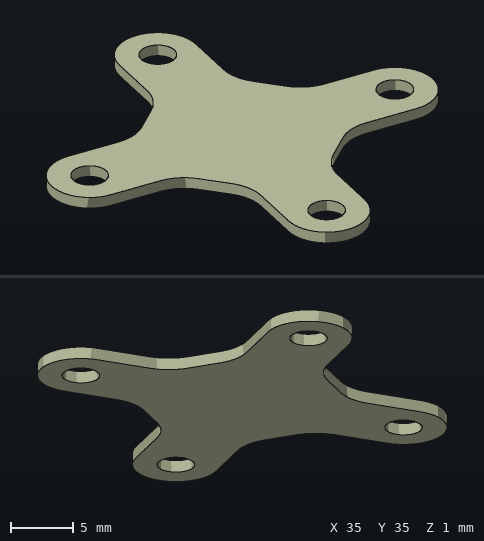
import cadquery as cq

span = 35.0
arm_width = 7.0
thickness = 1.0
hub_side = 16.0
fillet_radius = 4.0
hole_diameter = 3.0

hole_offset = (span - arm_width) / 2


def arm_bar(angle):
    """Round-ended bar through the centre, forming two opposite arms."""
    return cq.Workplane("XY").slot2D(span, arm_width, angle).extrude(thickness)


hub = cq.Workplane("XY").rect(hub_side, hub_side).extrude(thickness)
hub = hub.rotate((0, 0, 0), (0, 0, 1), 45)
plate = hub.union(arm_bar(0)).union(arm_bar(90))

corner_reach = hole_offset - arm_width / 4
corner_zone = cq.selectors.BoxSelector(
    (-corner_reach, -corner_reach, -thickness),
    (corner_reach, corner_reach, 2 * thickness),
)
plate = plate.edges("|Z").edges(corner_zone).fillet(fillet_radius)

result = (
    plate.faces(">Z").workplane(origin=(0, 0, thickness))
    .polarArray(hole_offset, 0, 360, 4)
    .hole(hole_diameter)
)